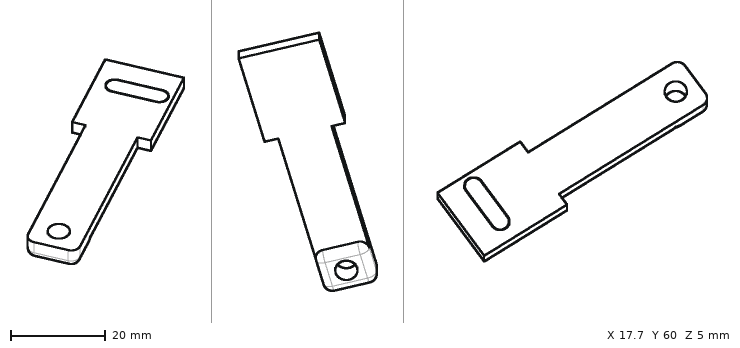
import cadquery as cq

total_length = 60.0
plate_thickness = 3.0
head_width = 17.7
head_length = 21.2
shoulder_width = 3.0
stem_width = head_width - 2 * shoulder_width
stem_length = total_length - head_length
corner_radius = 2.0

pad_length = 10.0
pad_drop = 2.0

ring_hole_diameter = 4.7
ring_hole_y = pad_length / 2

pocket_length = 14.0
pocket_width = 4.0
pocket_depth = 1.0
pocket_side_margin = 1.0
pocket_end_margin = 5.25
pocket_x = head_width / 2 - pocket_side_margin - pocket_length / 2
pocket_y = total_length - pocket_end_margin - pocket_width / 2
inlay_gap = 0.125


def make_round_ended_strip(length, width):
    """Strip from the pocket floor up to the top of the plate."""
    return (
        cq.Workplane("XY", origin=(pocket_x, pocket_y, plate_thickness - pocket_depth))
        .slot2D(length, width)
        .extrude(pocket_depth)
    )


def make_head():
    return cq.Workplane("XY", origin=(0, stem_length, 0)).box(
        head_width, head_length, plate_thickness, centered=(True, False, False)
    )


def make_stem():
    """Straight bar with its two tip corners rounded."""
    bar = cq.Workplane("XY").box(
        stem_width, stem_length, plate_thickness, centered=(True, False, False)
    )
    return bar.edges("|Z and <Y").fillet(corner_radius)


def make_pad():
    """Block through the stem tip, rounded at its upright corners and its lower rim."""
    block = cq.Workplane("XY", origin=(0, 0, -pad_drop)).box(
        stem_width, pad_length, pad_drop + plate_thickness, centered=(True, False, False)
    )
    return block.edges("|Z").fillet(corner_radius).faces("<Z").edges().fillet(pad_drop)


def make_ring_hole():
    return (
        cq.Workplane("XY", origin=(0, ring_hole_y, -pad_drop))
        .circle(ring_hole_diameter / 2)
        .extrude(pad_drop + plate_thickness)
    )


def make_key_plate():
    pocket = make_round_ended_strip(pocket_length, pocket_width)
    blank = make_head().union(make_stem()).union(make_pad())
    return blank.cut(make_ring_hole()).cut(pocket)


def make_inlay():
    return make_round_ended_strip(pocket_length - 2 * inlay_gap, pocket_width - 2 * inlay_gap)


key_plate = make_key_plate().solids()
inlay = make_inlay()

result = cq.Compound.makeCompound([key_plate.val(), inlay.val()])